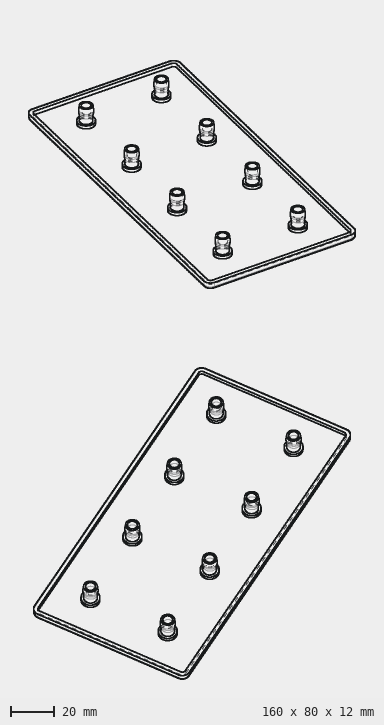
import cadquery as cq

LENGTH = 160.0
WIDTH = 80.0
TRAY_HEIGHT = 4.0
WALL = TRAY_HEIGHT / 2
FLOOR = TRAY_HEIGHT / 2
CORNER_RADIUS = 3.5
BOTTOM_FILLET = TRAY_HEIGHT / 2

PITCH = 40.0
COLUMNS = 4
ROWS = 2
POST_TOP = 12.0
FOOT_RADIUS = 8.6 / 2
FOOT_HEIGHT = 1.6
POST_RADIUS = 6.2 / 2
COLLAR_RADIUS = 6.9 / 2
SHANK_TOP = 6.7
COLLAR_BOTTOM = 8.6
COLLAR_TOP = 9.6

SOCKET_RADIUS = 4.5 / 2
SOCKET_DEPTH = 4.8


def make_tray():
    """Shallow open tray with rounded corners and a rounded bottom edge."""
    body = (
        cq.Workplane("XY")
        .box(LENGTH, WIDTH, TRAY_HEIGHT, centered=(True, True, False))
        .edges("|Z").fillet(CORNER_RADIUS)
        .faces("<Z").edges().fillet(BOTTOM_FILLET)
    )
    cavity = (
        cq.Workplane("XY").workplane(offset=FLOOR)
        .rect(LENGTH - 2 * WALL, WIDTH - 2 * WALL)
        .extrude(TRAY_HEIGHT - FLOOR)
        .edges("|Z").fillet(CORNER_RADIUS - WALL)
    )
    return body.cut(cavity)


def make_post():
    """Turned post: foot, shank, collar with tapered shoulders, and a socket."""
    root = FLOOR / 2
    foot_top = FLOOR + FOOT_HEIGHT
    profile = (
        cq.Workplane("XZ")
        .moveTo(0, root)
        .lineTo(FOOT_RADIUS, root)
        .lineTo(FOOT_RADIUS, foot_top)
        .lineTo(POST_RADIUS, foot_top)
        .lineTo(POST_RADIUS, SHANK_TOP)
        .lineTo(COLLAR_RADIUS, COLLAR_BOTTOM)
        .lineTo(COLLAR_RADIUS, COLLAR_TOP)
        .lineTo(POST_RADIUS, POST_TOP)
        .lineTo(SOCKET_RADIUS, POST_TOP)
        .lineTo(SOCKET_RADIUS, POST_TOP - SOCKET_DEPTH + SOCKET_RADIUS)
        .radiusArc((0, POST_TOP - SOCKET_DEPTH), SOCKET_RADIUS)
        .close()
    )
    return profile.revolve(360, (0, 0, 0), (0, 1, 0))


post = make_post()
result = make_tray()
for column in range(COLUMNS):
    for row in range(ROWS):
        x = (column - (COLUMNS - 1) / 2) * PITCH
        y = (row - (ROWS - 1) / 2) * PITCH
        result = result.union(post.translate((x, y, 0)))